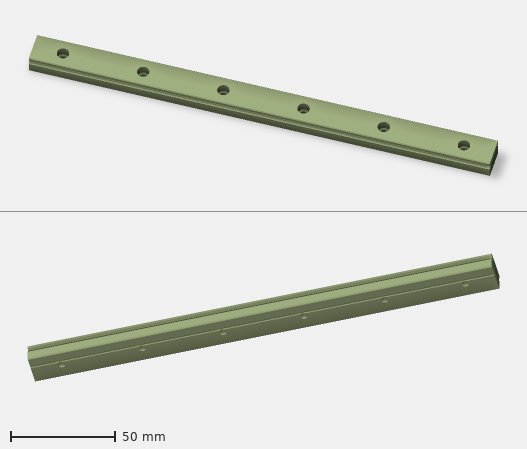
import cadquery as cq

length = 230.0
width = 15.0
height = 10.0
top_chamfer = 0.5
bottom_chamfer = 0.58

groove_middle = height - 3.1
groove_height = 2.5
groove_depth = 1.0
relief_height = 0.7
relief_depth = 1.5

mark_offset = 2.0
mark_radius = 0.58
mark_depth = 0.35

hole_count = 6
hole_pitch = 40.0
hole_diameter = 3.5
counterbore_diameter = 6.0
counterbore_depth = 4.5


def rail_body():
    """Extrude the chamfered rectangular cross-section along X."""
    return (
        cq.Workplane("XY")
        .box(length, width, height, centered=(True, True, False))
        .edges("|X and >Z")
        .chamfer(top_chamfer)
        .edges("|X and <Z")
        .chamfer(bottom_chamfer)
    )


def cut_ball_grooves(body):
    """Cut the arc groove and its relief slot into both sides."""
    groove_radius = (groove_height**2 / 4 + groove_depth**2) / (2 * groove_depth)
    arc_offset = groove_radius - groove_depth
    for side in (-1, 1):
        groove = (
            cq.Workplane("YZ")
            .center(side * (width / 2 + arc_offset), groove_middle)
            .circle(groove_radius)
            .extrude(length / 2, both=True)
        )
        relief = (
            cq.Workplane("YZ")
            .center(side * width / 2, groove_middle)
            .rect(2 * relief_depth, relief_height)
            .extrude(length / 2, both=True)
        )
        body = body.cut(groove).cut(relief)
    return body


def cut_reference_mark(body):
    """Cut the shallow off-centre groove along the underside."""
    mark = (
        cq.Workplane("YZ")
        .center(mark_offset, mark_depth - mark_radius)
        .circle(mark_radius)
        .extrude(length / 2, both=True)
    )
    return body.cut(mark)


def drill_mounting_holes(body):
    """Drill the row of counterbored through holes from the top."""
    return (
        body.faces(">Z")
        .workplane(origin=(0, 0, height))
        .rarray(hole_pitch, 2.3, hole_count, 1)
        .cboreHole(hole_diameter, counterbore_diameter, counterbore_depth)
    )


result = rail_body()
result = cut_ball_grooves(result)
result = cut_reference_mark(result)
result = drill_mounting_holes(result)